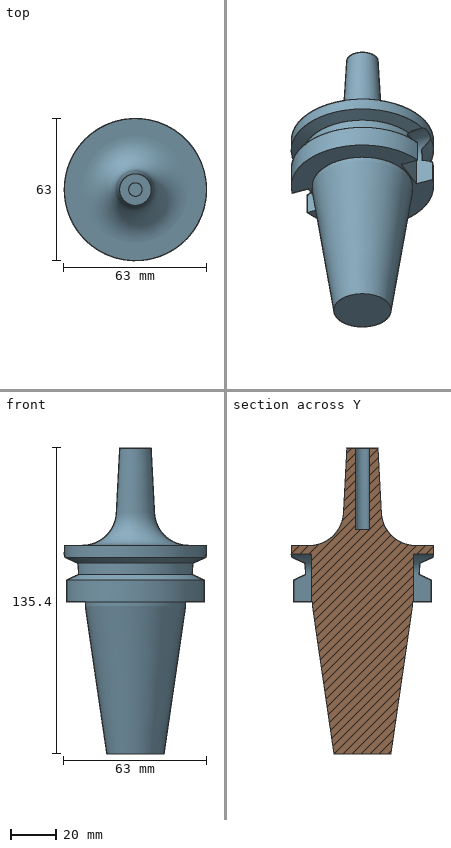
import cadquery as cq
import math


gauge_diameter = 44.45
taper_length = 65.4
taper_ratio = 7 / 24
taper_end_diameter = gauge_diameter - taper_length * taper_ratio

flange_diameter = 63.0
flange_bottom_z = 2.0
flange_top_z = 27.0
groove_diameter = 53.0
groove_center_z = 16.6
groove_floor_width = 5.0
groove_mouth_width = 10.0

nose_top_z = 70.0
nose_tip_diameter = 14.0
nose_half_angle = 3.0
nose_fillet_radius = 15.0
bore_diameter = 6.0
bore_depth = 36.0

slot_width = 16.1
slot_top_z = 23.0
slot_floor_distance = 22.6


def make_body():
    """Revolve the taper, grooved flange and nose as one profile."""
    gauge_radius = gauge_diameter / 2
    flange_radius = flange_diameter / 2
    groove_radius = groove_diameter / 2

    floor_low_z = groove_center_z - groove_floor_width / 2
    mouth_low_z = groove_center_z - groove_mouth_width / 2
    floor_high_z = groove_center_z + groove_floor_width / 2
    mouth_high_z = groove_center_z + groove_mouth_width / 2

    nose_angle = math.radians(nose_half_angle)
    nose_tip_radius = nose_tip_diameter / 2
    nose_foot_radius = nose_tip_radius + (nose_top_z - flange_top_z) * math.tan(nose_angle)
    tangent_length = nose_fillet_radius * math.tan(math.pi / 4 - nose_angle / 2)
    fillet_outer = (nose_foot_radius + tangent_length, flange_top_z)
    fillet_inner = (
        nose_foot_radius - tangent_length * math.sin(nose_angle),
        flange_top_z + tangent_length * math.cos(nose_angle),
    )

    profile = (
        cq.Workplane("XZ")
        .moveTo(0, -taper_length)
        .lineTo(taper_end_diameter / 2, -taper_length)
        .lineTo(gauge_radius, 0)
        .lineTo(gauge_radius, flange_bottom_z)
        .lineTo(flange_radius, flange_bottom_z)
        .lineTo(flange_radius, mouth_low_z)
        .lineTo(groove_radius, floor_low_z)
        .lineTo(groove_radius, floor_high_z)
        .lineTo(flange_radius, mouth_high_z)
        .lineTo(flange_radius, flange_top_z)
        .lineTo(*fillet_outer)
        .tangentArcPoint(fillet_inner, relative=False)
        .lineTo(nose_tip_radius, nose_top_z)
        .lineTo(0, nose_top_z)
        .close()
    )
    return profile.revolve(360, (0, 0, 0), (0, 1, 0))


def make_bore():
    """Blind tool bore in the nose tip."""
    bore_floor = cq.Workplane("XY").workplane(offset=nose_top_z - bore_depth)
    return bore_floor.circle(bore_diameter / 2).extrude(bore_depth)


def make_slot(side):
    """Round-topped drive slot, open downward; side is -1 or +1 along X."""
    half_width = slot_width / 2
    arc_center_z = slot_top_z - half_width
    outline = (
        cq.Workplane("YZ", origin=(side * slot_floor_distance, 0, 0))
        .moveTo(-half_width, flange_bottom_z)
        .lineTo(half_width, flange_bottom_z)
        .lineTo(half_width, arc_center_z)
        .threePointArc((0, slot_top_z), (-half_width, arc_center_z))
        .close()
    )
    return outline.extrude(side * flange_diameter / 2)


result = make_body().cut(make_bore())
for side in (-1, 1):
    result = result.cut(make_slot(side))